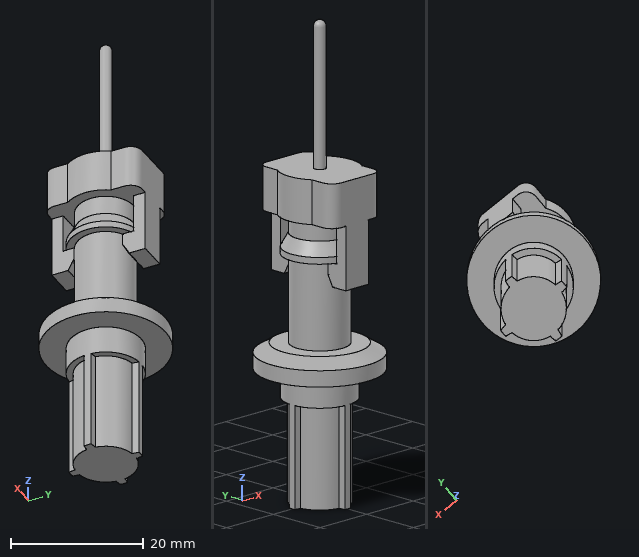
import cadquery as cq

TOTAL_HEIGHT = 76.1
RIB_TOP_Z = 16.4
FLANGE_BOTTOM_Z = 21.0
FLANGE_RIM_Z = 23.6
FLANGE_TOP_Z = 25.1
ARM_BOTTOM_Z = 35.4
COLLAR_BOTTOM_Z = 39.2
COLLAR_RIM_Z = 40.25
COLLAR_TOP_Z = 42.45
CAP_BOTTOM_Z = 45.6
CAP_TOP_Z = 52.65

SHAFT_RADIUS = 9.5 / 2
COLLAR_RADIUS = 12.0 / 2
FLANGE_RADIUS = 20.3 / 2
FLANGE_TOP_RADIUS = 7.7
STEM_RADIUS = 4.95
RIB_ROOT_WIDTH = 1.5
RIB_TIP_WIDTH = 1.2
RIB_COUNT = 4

CAP_WIDTH = 10.8
CAP_DEPTH = 16.0
CAP_CORNER_RADIUS = 2.0
CAP_BULGE_RADIUS = 6.55
ARM_WIDTH = 4.9
ARM_OUTER_Y = CAP_DEPTH / 2
HOOK_BORE_RADIUS = 9.6 / 2
HOOK_TIP_Y = 4.0
HOOK_CHAMFER_Y = 1.15
HOOK_CHAMFER_HEIGHT = 2.05

PIN_RADIUS = 2.0 / 2


def make_barrel():
    """Turned shaft with snap collar and flange, on a lower stem with four ribs."""
    body = (
        cq.Workplane("XZ")
        .moveTo(0, 0)
        .lineTo(STEM_RADIUS, 0)
        .lineTo(STEM_RADIUS, RIB_TOP_Z)
        .lineTo(COLLAR_RADIUS, RIB_TOP_Z)
        .lineTo(COLLAR_RADIUS, FLANGE_BOTTOM_Z)
        .lineTo(FLANGE_RADIUS, FLANGE_BOTTOM_Z)
        .lineTo(FLANGE_RADIUS, FLANGE_RIM_Z)
        .lineTo(FLANGE_TOP_RADIUS, FLANGE_TOP_Z)
        .lineTo(SHAFT_RADIUS, FLANGE_TOP_Z)
        .lineTo(SHAFT_RADIUS, COLLAR_BOTTOM_Z)
        .lineTo(COLLAR_RADIUS, COLLAR_BOTTOM_Z)
        .lineTo(COLLAR_RADIUS, COLLAR_RIM_Z)
        .lineTo(SHAFT_RADIUS, COLLAR_TOP_Z)
        .lineTo(SHAFT_RADIUS, CAP_BOTTOM_Z)
        .lineTo(0, CAP_BOTTOM_Z)
        .close()
        .revolve(360, (0, 0, 0), (0, 1, 0))
    )
    rib_envelope = cq.Workplane("XY").circle(COLLAR_RADIUS).extrude(RIB_TOP_Z)
    rib = (
        cq.Workplane("XY")
        .moveTo(0, -RIB_ROOT_WIDTH / 2)
        .lineTo(STEM_RADIUS, -RIB_ROOT_WIDTH / 2)
        .lineTo(COLLAR_RADIUS, -RIB_TIP_WIDTH / 2)
        .lineTo(COLLAR_RADIUS, RIB_TIP_WIDTH / 2)
        .lineTo(STEM_RADIUS, RIB_ROOT_WIDTH / 2)
        .lineTo(0, RIB_ROOT_WIDTH / 2)
        .close()
        .extrude(RIB_TOP_Z)
        .intersect(rib_envelope)
    )
    for index in range(RIB_COUNT):
        body = body.union(rib.rotate((0, 0, 0), (0, 0, 1), index * 360 / RIB_COUNT))
    return body


def make_snap_arm():
    """Hooked arm on the +Y side; the hook grips below the collar."""
    return (
        cq.Workplane("YZ")
        .moveTo(ARM_OUTER_Y, CAP_BOTTOM_Z)
        .lineTo(ARM_OUTER_Y, ARM_BOTTOM_Z)
        .lineTo(HOOK_TIP_Y + HOOK_CHAMFER_Y, ARM_BOTTOM_Z)
        .lineTo(HOOK_TIP_Y, ARM_BOTTOM_Z + HOOK_CHAMFER_HEIGHT)
        .lineTo(HOOK_TIP_Y, COLLAR_BOTTOM_Z)
        .lineTo(COLLAR_RADIUS, COLLAR_BOTTOM_Z)
        .lineTo(COLLAR_RADIUS, CAP_BOTTOM_Z)
        .close()
        .extrude(ARM_WIDTH / 2, both=True)
    )


def make_cap():
    """Rounded block with bulging sides, two snap arms and a bore for the pin."""
    thickness = CAP_TOP_Z - CAP_BOTTOM_Z
    base = cq.Workplane("XY").workplane(offset=CAP_BOTTOM_Z)
    block = base.rect(CAP_WIDTH, CAP_DEPTH).extrude(thickness).edges("|Z").fillet(CAP_CORNER_RADIUS)
    bulge = base.circle(CAP_BULGE_RADIUS).extrude(thickness)
    arm = make_snap_arm()
    body = block.union(bulge).union(arm).union(arm.mirror("XZ"))
    shaft_space = cq.Workplane("XY").circle(HOOK_BORE_RADIUS).extrude(CAP_BOTTOM_Z)
    pin_bore = base.circle(PIN_RADIUS).extrude(thickness)
    return body.cut(shaft_space).cut(pin_bore)


def make_pin():
    """Round pin through the cap, standing on the shaft, with a domed tip."""
    dome_base_z = TOTAL_HEIGHT - PIN_RADIUS
    pin = (
        cq.Workplane("XY")
        .workplane(offset=CAP_BOTTOM_Z)
        .circle(PIN_RADIUS)
        .extrude(dome_base_z - CAP_BOTTOM_Z)
    )
    dome = cq.Workplane("XY").sphere(PIN_RADIUS).translate((0, 0, dome_base_z))
    return pin.union(dome)


barrel = make_barrel()
cap = make_cap()
pin = make_pin()

result = cq.Compound.makeCompound([barrel.val(), cap.val(), pin.val()])